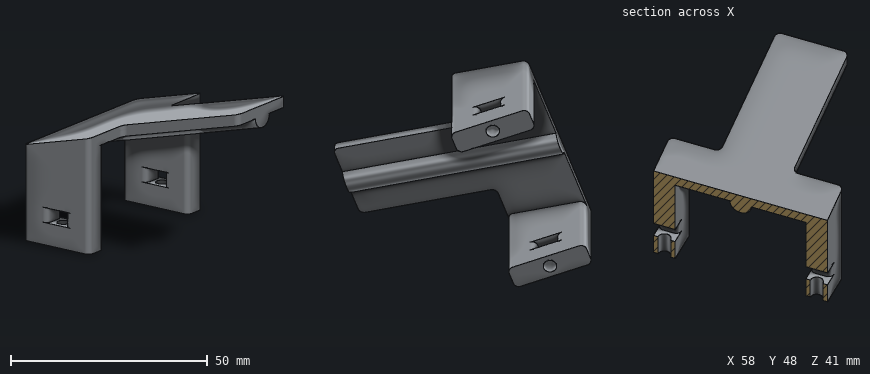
import cadquery as cq
import math

incline = 15.0
plate_slope_length = 60.0
plate_thickness = 3.0
low_edge_height = 25.5
bridge_width = 48.0
bridge_depth = 21.0
handle_width = 20.0
leg_thickness = 6.0
corner_radius = 1.5
rib_radius = 3.0
nut_slot_width = 5.5
nut_slot_height = 4.0
nut_slot_floor = 6.0
screw_diameter = 3.4

slope = math.tan(math.radians(incline))
plate_length = plate_slope_length * math.cos(math.radians(incline))
high_edge_height = low_edge_height + plate_length * slope
handle_length = plate_length - bridge_depth
leg_center_y = (bridge_width - leg_thickness) / 2
slot_center_x = bridge_depth / 2


def block(length, width, height, center_y=0.0, start_x=0.0):
    """Box standing on z = 0, starting at start_x and centred on center_y."""
    box = cq.Workplane("XY").box(length, width, height, centered=(False, True, False))
    return box.translate((start_x, center_y, 0))


def below_slope(drop):
    """Wedge filling the space under the plate's top surface lowered by drop."""
    profile = [
        (0, 0),
        (plate_length, 0),
        (plate_length, high_edge_height - drop),
        (0, low_edge_height - drop),
    ]
    return cq.Workplane("XZ").polyline(profile).close().extrude(bridge_width / 2, both=True)


def make_plate():
    """Sloping T-shaped plate with rounded corners in plan."""
    bridge = block(bridge_depth, bridge_width, high_edge_height)
    handle = block(handle_length, handle_width, high_edge_height, start_x=bridge_depth)
    outline = bridge.union(handle).edges("|Z").fillet(corner_radius)
    sloping_layer = below_slope(0).cut(below_slope(plate_thickness))
    return outline.intersect(sloping_layer)


def make_leg(side):
    """Upright leg with rounded edges, a flared nut slot and a screw hole from below."""
    center_y = side * leg_center_y
    leg = block(bridge_depth, leg_thickness, high_edge_height, center_y)
    slot = block(
        nut_slot_width, leg_thickness, nut_slot_height, center_y, slot_center_x - nut_slot_width / 2
    ).translate((0, 0, nut_slot_floor))
    leg = leg.cut(slot).edges("|Z").fillet(corner_radius)
    screw_hole = (
        cq.Workplane("XY")
        .center(slot_center_x, center_y)
        .circle(screw_diameter / 2)
        .extrude(nut_slot_floor)
    )
    return leg.cut(screw_hole).intersect(below_slope(0))


def make_rib():
    """Half-round rib under the plate, running its whole length along the slope."""
    underside = low_edge_height - plate_thickness
    path = (
        cq.Workplane("XZ")
        .moveTo(0, underside)
        .lineTo(plate_length, underside + plate_length * slope)
    )
    start = cq.Plane(origin=(0, 0, underside), xDir=(0, 1, 0), normal=(1, 0, 0))
    section = (
        cq.Workplane(start)
        .moveTo(-rib_radius, 0)
        .threePointArc((0, -rib_radius), (rib_radius, 0))
        .close()
    )
    return section.sweep(path)


result = make_plate().union(make_rib())
for side in (-1, 1):
    result = result.union(make_leg(side))